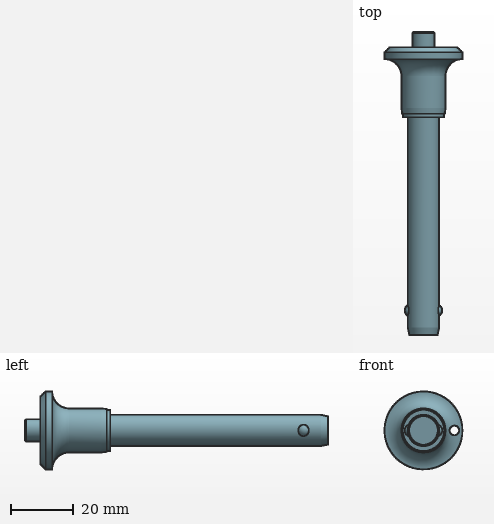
import cadquery as cq

length = 96.9
button_rear = length / 2
tip_front = -length / 2

button_radius = 3.6
flange_radius = 12.5
body_radius = 7.1
collar_radius = 6.9
end_ring_radius = 6.6
shank_radius = 5.0
tip_radius = 4.6

button_length = 4.8
button_chamfer = 0.4
flange_chamfer = 1.7
flange_rim = 2.1
flare_radius = flange_radius - body_radius
body_length = 10.3
collar_length = 1.7
end_ring_length = 1.2
tip_length = 2.3

ball_radius = 1.9
ball_protrusion = 1.0
ball_from_tip = 7.85
hole_diameter = 3.0
hole_offset = 9.9

flange_rear = button_rear - button_length
rim_rear = flange_rear - flange_chamfer
rim_front = rim_rear - flange_rim
flare_front = rim_front - flare_radius
body_front = flare_front - body_length
collar_front = body_front - collar_length
end_ring_front = collar_front - end_ring_length


def turned_pin():
    """Button, flared handle and shank as one revolved half profile (X = radius)."""
    flare_center = (flange_radius, flare_front)
    flare_mid_offset = flare_radius * 0.5**0.5
    flare_mid = (flare_center[0] - flare_mid_offset, flare_center[1] + flare_mid_offset)
    profile = (
        cq.Workplane("XY")
        .moveTo(0, button_rear)
        .lineTo(button_radius - button_chamfer, button_rear)
        .lineTo(button_radius, button_rear - button_chamfer)
        .lineTo(button_radius, flange_rear)
        .lineTo(flange_radius - flange_chamfer, flange_rear)
        .lineTo(flange_radius, rim_rear)
        .lineTo(flange_radius, rim_front)
        .threePointArc(flare_mid, (body_radius, flare_front))
        .lineTo(body_radius, body_front)
        .lineTo(collar_radius, collar_front)
        .lineTo(end_ring_radius, collar_front)
        .lineTo(end_ring_radius, end_ring_front)
        .lineTo(shank_radius, end_ring_front)
        .lineTo(shank_radius, tip_front + tip_length)
        .lineTo(tip_radius, tip_front)
        .lineTo(0, tip_front)
        .close()
    )
    return profile.revolve(360, (0, 0, 0), (0, 1, 0))


def locking_ball(side):
    """Ball protruding from the shank on the +X (side = 1) or -X (side = -1) side."""
    center_x = side * (shank_radius + ball_protrusion - ball_radius)
    return cq.Workplane("XY").sphere(ball_radius).translate((center_x, tip_front + ball_from_tip, 0))


def lanyard_hole():
    """Cutter passing through the flange and flare, parallel to the pin axis."""
    return (
        cq.Workplane("XZ", origin=(hole_offset, flange_rear, 0))
        .circle(hole_diameter / 2)
        .extrude(flange_rear - flare_front)
    )


result = turned_pin().cut(lanyard_hole())
for ball_side in (-1, 1):
    result = result.union(locking_ball(ball_side))